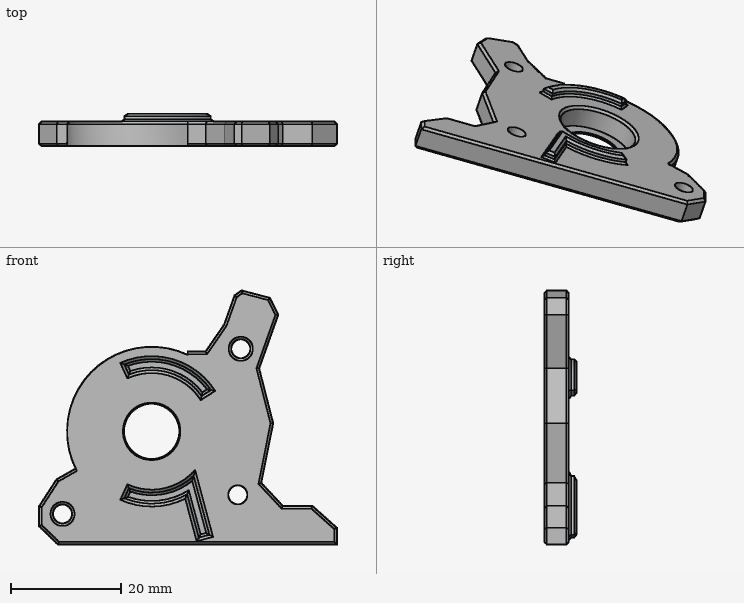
import cadquery as cq
import math


overall_depth = 5.9
plate_thickness = 4.5
edge_chamfer = 0.5
disc_radius = 15.35
ledge_start = 6.55
ledge_height = 14.5

overall_width = 54.05
overall_height = 46.1
left = -20.45
right = left + overall_width
bottom = -20.55
top = bottom + overall_height

shaft_diameter = 10.0
shaft_chamfer = 0.2
bearing_diameter = 14.2
bearing_lip = 0.5
bearing_chamfer = 0.5

screw_diameter = 3.4
screw_chamfer = 0.5
chamfered_screw_places = [(16.15, 15.0), (-16.15, -15.0)]
plain_screw_place = (15.6, -11.5)

track_radius = 12.1
track_width = 3.1
track_flare = 0.55
groove_depth = 1.6
groove_floor_chamfer = 0.5
rib_flare = 0.4
rib_height = overall_depth - plate_thickness
rib_crest_chamfer = 0.5
track_start_angle = 114.6
upper_track_end_angle = 32.5

leg_tilt = 15.0
leg_corner = (7.9, -7.05)
leg_length = 12.55

overlap = 0.55


def prism(sketch_points, y_start, y_end):
    """Extrude a closed XZ polygon from y_start to y_end."""
    outline = cq.Workplane("XZ", origin=(0, y_start, 0)).polyline(sketch_points).close()
    return outline.extrude(y_start - y_end)


def cylinder(place, diameter, y_start, y_end):
    """Make a cylinder along Y, centred on an (x, z) place."""
    circle = cq.Workplane("XZ", origin=(0, y_start, 0)).center(*place).circle(diameter / 2)
    return circle.extrude(y_start - y_end)


def polar(radius, angle):
    """Turn a radius and an angle in degrees into an (x, z) point."""
    return (radius * math.cos(math.radians(angle)), radius * math.sin(math.radians(angle)))


def make_plate():
    """Join the polygonal lugs, chamfered on both faces, to the disc, chamfered at the back only."""
    lug_outline = [
        (0, ledge_height),
        (9.8, ledge_height),
        (13.15, 19.35),
        (15.05, 24.65),
        (16.3, top),
        (21.45, 24.2),
        (23.0, 21.15),
        (19.5, 11.4),
        (22.05, 1.45),
        (19.9, -9.35),
        (23.8, -13.5),
        (29.15, -13.5),
        (right, -17.5),
        (right, bottom),
        (-17.0, bottom),
        (left, -17.2),
        (left, -13.6),
        (-17.25, -8.7),
        (-10.65, -5.0),
    ]
    lugs = prism(lug_outline, 0, plate_thickness).faces("<Y or >Y").chamfer(edge_chamfer)
    ledge_waste = [
        (0, 0),
        (ledge_start, 0),
        (ledge_start, ledge_height + overlap),
        (0, ledge_height + overlap),
    ]
    lugs = lugs.cut(prism(ledge_waste, -overlap, plate_thickness + overlap))
    disc = cylinder((0, 0), 2 * disc_radius, 0, plate_thickness).faces(">Y").chamfer(edge_chamfer)
    return lugs.union(disc)


def arc_track(inset, start_angle, end_angle, y_start, y_end):
    """Extrude a ring sector whose four sides are all moved inward by inset."""
    outer = track_radius + track_width / 2 - inset
    inner = track_radius - track_width / 2 + inset
    middle_angle = (start_angle + end_angle) / 2

    def corner(radius, angle, side):
        shift = math.degrees(math.asin(inset / radius))
        return polar(radius, angle + side * shift)

    turn = 1 if end_angle > start_angle else -1
    outline = (
        cq.Workplane("XZ", origin=(0, y_start, 0))
        .moveTo(*corner(inner, start_angle, turn))
        .threePointArc(polar(inner, middle_angle), corner(inner, end_angle, -turn))
        .lineTo(*corner(outer, end_angle, -turn))
        .threePointArc(polar(outer, middle_angle), corner(outer, start_angle, turn))
        .close()
    )
    return outline.extrude(y_start - y_end)


def lower_track(inset, y_start, y_end):
    """Extrude the lower ring sector together with its straight leg, moved inward by inset."""
    along = polar(1, leg_tilt - 90)
    across = polar(1, leg_tilt + 180)

    def leg_point(distance, offset):
        x = leg_corner[0] + distance * along[0] + offset * across[0]
        z = leg_corner[1] + distance * along[1] + offset * across[1]
        return (x, z)

    near = inset
    far = track_width - inset
    inner = track_radius - track_width / 2 + inset
    leg_end = leg_length - inset
    leg = prism(
        [
            leg_point(-track_width, near),
            leg_point(leg_end, near),
            leg_point(leg_end, far),
            leg_point(-track_width, far),
        ],
        y_start,
        y_end,
    )
    leg = leg.cut(cylinder((0, 0), 2 * inner, y_start, y_end))
    right_of_leg = prism(
        [
            leg_point(-track_radius, near),
            leg_point(track_radius, near),
            leg_point(track_radius, near - track_radius),
            leg_point(-track_radius, near - track_radius),
        ],
        y_start,
        y_end,
    )
    arc = arc_track(inset, -track_start_angle, 0, y_start, y_end).cut(right_of_leg)
    return arc.union(leg).clean()


def upper_track(inset, y_start, y_end):
    """Extrude the upper ring sector, moved inward by inset."""
    return arc_track(inset, track_start_angle, upper_track_end_angle, y_start, y_end)


def make_groove(track):
    """Make the cutter for a groove with a flared mouth and a chamfered floor."""
    mouth = track(0, -overlap, track_flare).faces(">Y").chamfer(track_flare)
    body = track(track_flare, -overlap, groove_depth).faces(">Y").chamfer(groove_floor_chamfer)
    return body.union(mouth)


def make_rib(track):
    """Make a rib with a flared foot and a chamfered crest."""
    foot_top = plate_thickness + rib_flare
    crest = plate_thickness + rib_height
    foot_inset = track_flare - rib_flare
    foot = track(foot_inset, plate_thickness - overlap, foot_top).faces(">Y").chamfer(rib_flare)
    body = track(track_flare, plate_thickness - overlap, crest).faces(">Y").chamfer(rib_crest_chamfer)
    return body.union(foot)


def chamfered_hole(place, diameter, chamfer):
    """Make the cutter for a through hole whose front rim is chamfered."""
    hole = cylinder(place, diameter, -overlap, plate_thickness + overlap)
    mouth = cylinder(place, diameter + 2 * chamfer, -overlap, chamfer)
    return hole.union(mouth.faces(">Y").chamfer(chamfer))


def make_bearing_seat():
    """Make the cutter for the bearing seat, which leaves a thin lip at the front face."""
    seat = cylinder((0, 0), bearing_diameter, bearing_lip, plate_thickness + overlap)
    mouth_start = plate_thickness - bearing_chamfer
    mouth_diameter = bearing_diameter + 2 * bearing_chamfer
    mouth = cylinder((0, 0), mouth_diameter, mouth_start, plate_thickness + overlap)
    return seat.union(mouth.faces("<Y").chamfer(bearing_chamfer))


result = make_plate()

for track in (upper_track, lower_track):
    result = result.union(make_rib(track)).cut(make_groove(track))

result = result.cut(chamfered_hole((0, 0), shaft_diameter, shaft_chamfer))
result = result.cut(make_bearing_seat())

for place in chamfered_screw_places:
    result = result.cut(chamfered_hole(place, screw_diameter, screw_chamfer))
result = result.cut(cylinder(plain_screw_place, screw_diameter, -overlap, plate_thickness + overlap))